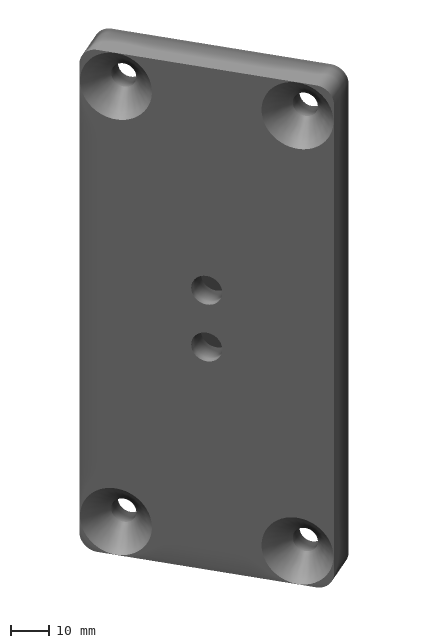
import cadquery as cq

width = 70.0
thickness = 12.0
height = 150.0
corner_radius = 5.0

screw_spacing_x = 50.0
screw_spacing_z = 130.0
screw_hole_diameter = 6.9
countersink_diameter = 19.8
countersink_angle = 90.0

blind_hole_diameter = 8.5
blind_hole_depth = 8.0
blind_hole_spacing = 17.0


def make_plate():
    """Upright plate with rounded corners, its front face on Y = 0 and centred on X and Z."""
    plate = cq.Workplane("XY").box(width, thickness, height).translate((0, thickness / 2, 0))
    return plate.edges("|Y").fillet(corner_radius)


def on_front_face(plate):
    """Workplane on the front face: local x is X, local y is Z, the normal is -Y."""
    return plate.copyWorkplane(cq.Workplane("XZ"))


def cut_screw_holes(plate):
    """Cut a countersunk through hole near each corner of the front face."""
    centres = on_front_face(plate).rarray(screw_spacing_x, screw_spacing_z, 2, 2)
    return centres.cskHole(screw_hole_diameter, countersink_diameter, countersink_angle)


def cut_blind_holes(plate):
    """Cut the two flat-bottomed holes, one above the other."""
    positions = [(0, side * blind_hole_spacing / 2) for side in (-1, 1)]
    centres = on_front_face(plate).pushPoints(positions)
    return centres.hole(blind_hole_diameter, blind_hole_depth)


result = cut_blind_holes(cut_screw_holes(make_plate()))